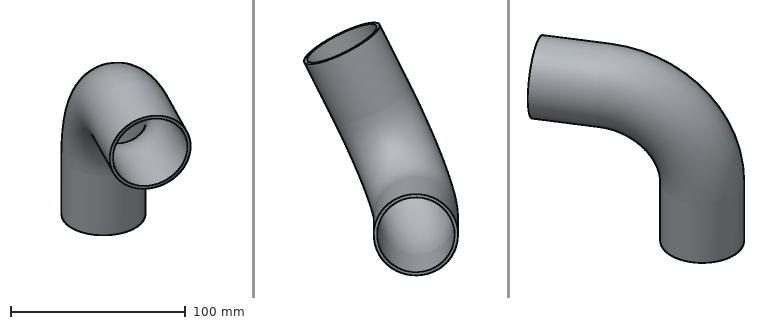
import cadquery as cq

overall_size = 121.2
outer_diameter = 48.3
bore_diameter = 44.3
straight_length = 40.0

outer_radius = outer_diameter / 2
bend_radius = overall_size - straight_length - outer_radius
bend_angle = 90


def elbow(diameter):
    """Solid round elbow: vertical leg, quarter-torus bend, horizontal leg."""
    radius = diameter / 2
    leg_start = (outer_radius, 0)
    vertical_leg = cq.Workplane("XY").center(*leg_start).circle(radius).extrude(straight_length)
    bend = (
        cq.Workplane("XY", origin=(outer_radius, 0, straight_length))
        .circle(radius)
        .revolve(bend_angle, (bend_radius, 0), (bend_radius, 1))
    )
    horizontal_leg = (
        cq.Workplane("YZ", origin=(outer_radius + bend_radius, 0, straight_length + bend_radius))
        .circle(radius)
        .extrude(straight_length)
    )
    return vertical_leg.union(bend).union(horizontal_leg)


result = elbow(outer_diameter).cut(elbow(bore_diameter))